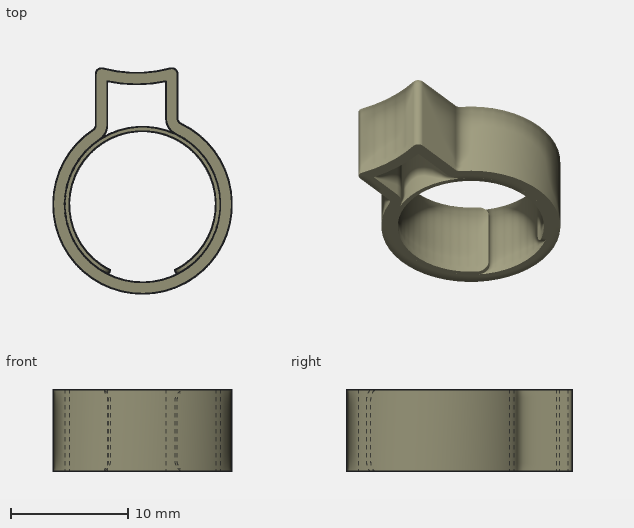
import cadquery as cq
import math

height = 7.0
wall = 1.0

clip_outer_radius = 7.65
clip_inner_radius = clip_outer_radius - wall
neck_center_x = -0.5
neck_width = 7.0
neck_tip_y = 11.25
tip_arc_radius = 11.0
tip_corner_radius = 0.5
root_outer_radius = 0.5
root_inner_radius = root_outer_radius + wall

sleeve_thickness = 0.4
sleeve_outer_radius = clip_inner_radius
sleeve_inner_radius = sleeve_outer_radius - sleeve_thickness
gap_half_angle = 26.0
sleeve_corner_radius = 1.0


def keyhole(ring_radius, width, tip_y, arc_radius, root_radius):
    """Solid disc with a neck toward +Y that has a concave tip and filleted roots."""
    half_width = width / 2
    left = neck_center_x - half_width
    right = neck_center_x + half_width
    corner_y = tip_y + arc_radius - math.sqrt(arc_radius**2 - half_width**2)
    disc = cq.Workplane("XY").circle(ring_radius).extrude(height)
    neck = (
        cq.Workplane("XY")
        .moveTo(left, 0)
        .lineTo(right, 0)
        .lineTo(right, corner_y)
        .threePointArc((neck_center_x, tip_y), (left, corner_y))
        .close()
        .extrude(height)
    )
    root_edges = cq.selectors.BoxSelector(
        (-ring_radius, ring_radius / 2, 0), (ring_radius, ring_radius, height)
    )
    return disc.union(neck).edges("|Z").edges(root_edges).fillet(root_radius)


def make_clip():
    """Band and neck of constant wall thickness, open right through along Z."""
    body = keyhole(clip_outer_radius, neck_width, neck_tip_y, tip_arc_radius, root_outer_radius)
    body = body.edges("|Z and >Y").fillet(tip_corner_radius)
    cavity = keyhole(
        clip_inner_radius,
        neck_width - 2 * wall,
        neck_tip_y - wall,
        tip_arc_radius + wall,
        root_inner_radius,
    )
    return body.cut(cavity)


def make_sleeve():
    """Thin ring with a wedge-shaped gap at -Y and rounded corners on both ends."""
    ring = cq.Workplane("XY").circle(sleeve_outer_radius).circle(sleeve_inner_radius).extrude(height)
    wedge_depth = 2 * sleeve_outer_radius
    wedge_half_width = wedge_depth * math.tan(math.radians(gap_half_angle))
    gap = (
        cq.Workplane("XY")
        .polyline([(0, 0), (-wedge_half_width, -wedge_depth), (wedge_half_width, -wedge_depth)])
        .close()
        .extrude(height)
    )
    return ring.cut(gap).edges("%LINE and (not |Z)").fillet(sleeve_corner_radius)


clip = make_clip()
sleeve = make_sleeve()

result = cq.Compound.makeCompound([clip.solids().val(), sleeve.solids().val()])